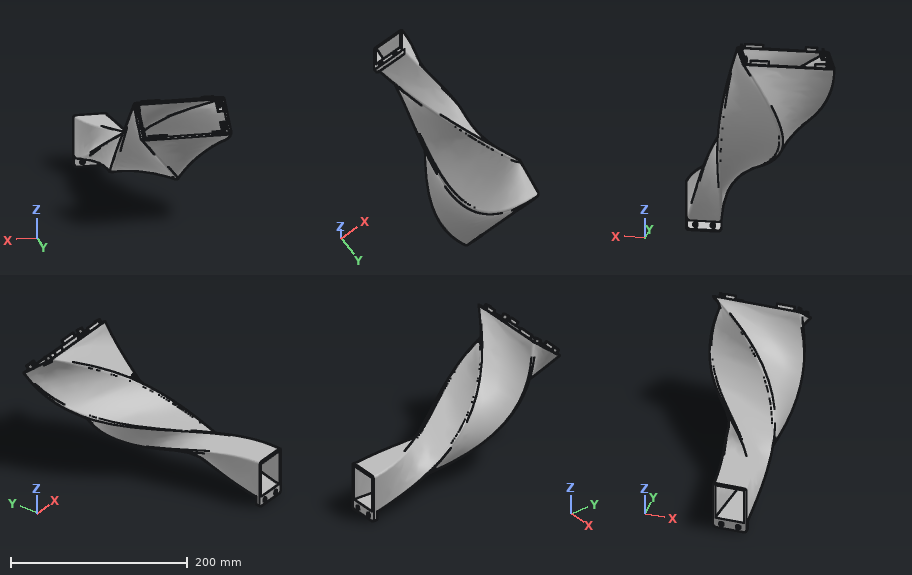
import cadquery as cq
import math

FLANGE_WIDTH = 40.0
FLANGE_HEIGHT = 60.0
FLANGE_THICKNESS = 5.0
FLANGE_CORNER_RADIUS = 3.5
INLET_WIDTH = FLANGE_WIDTH
INLET_HEIGHT = 50.0
HOLE_DIAMETER = 5.0
HOLE_SPACING = 20.0
HOLE_EDGE_DISTANCE = 5.5

OUTLET_WIDTH = 105.5
OUTLET_DEPTH = 51.0
OUTLET_CENTRE = cq.Vector(-47.1, 256.26, 95.18)
OUTLET_ELEVATION = 50.0

WALL = 3.0
DUCT_CORNER_RADIUS = 3.5

CLIP_HEIGHT = 5.0
CLIP_THICKNESS = 1.0
CLIP_FACE = 24.0
LONG_CLIP_WIDTH = 21.0
SHORT_CLIP_WIDTH = 13.0
LONG_CLIP_X = 33.7
UPPER_SHORT_CLIP_X = -32.4
LOWER_SHORT_CLIP_X = -36.6
SIDE_CLIP_WIDTH = 9.0
SIDE_CLIP_OFFSET = 16.5
LEFT_CLIP_X = -45.1
RIGHT_CLIP_X = 48.7
LEFT_LEDGE_WIDTH = 7.0
LEFT_LEDGE_NOTCH = 14.6
RIGHT_LEDGE_WIDTH = 2.2
LEDGE_RECESS = 1.0
LEDGE_THICKNESS = 1.5
LEDGE_GRIP = 0.8

elevation = math.radians(OUTLET_ELEVATION)
ACROSS = cq.Vector(1, 0, 0)
DOWN_SLOPE = cq.Vector(0, math.sin(elevation), -math.cos(elevation))
OUTWARD = cq.Vector(0, math.cos(elevation), math.sin(elevation))
OUTLET_PLANE = cq.Plane(origin=OUTLET_CENTRE, xDir=ACROSS, normal=OUTWARD)

CORNER_HANDLES = {
    (-1, 1): (cq.Vector(-7.2, 97.8, 10.9), cq.Vector(-26.5, -103.4, -54.9)),
    (1, 1): (cq.Vector(-10.6, 100.2, 2.6), cq.Vector(-111.0, -45.1, -131.2)),
    (1, -1): (cq.Vector(15.5, 112.5, 6.0), cq.Vector(36.0, -21.2, -105.0)),
    (-1, -1): (cq.Vector(0.6, 100.0, 26.7), cq.Vector(137.0, -79.6, -54.8)),
}
SECTION_COUNT = 17


def blended_handle(end, u, v):
    """Handle for a section point, blended from the corners; u and v are -1 to 1 over the section."""
    total = cq.Vector(0, 0, 0)
    for (across, down), handles in CORNER_HANDLES.items():
        total += handles[end] * ((1 + across * u) * (1 + down * v) / 4)
    return total


def flow_line(across, down, inset_x, inset_y):
    """Four control points of the cubic that starts near one corner, moved in from both walls."""
    inlet_x = across * (INLET_WIDTH / 2 - inset_x)
    inlet_y = down * (INLET_HEIGHT / 2 - inset_y)
    outlet_x = across * (OUTLET_WIDTH / 2 - inset_x)
    outlet_y = down * (OUTLET_DEPTH / 2 - inset_y)
    start = cq.Vector(-inlet_x, FLANGE_THICKNESS, inlet_y)
    finish = OUTLET_CENTRE + ACROSS * outlet_x + DOWN_SLOPE * outlet_y
    leaving = blended_handle(0, 2 * inlet_x / INLET_WIDTH, 2 * inlet_y / INLET_HEIGHT)
    arriving = blended_handle(1, 2 * outlet_x / OUTLET_WIDTH, 2 * outlet_y / OUTLET_DEPTH)
    return [start, start + leaving, finish + arriving, finish]


def point_on_cubic(controls, t):
    total = cq.Vector(0, 0, 0)
    for i, control in enumerate(controls):
        total += control * (math.comb(3, i) * t**i * (1 - t) ** (3 - i))
    return total


def rounded_section(t):
    """Closed outline of the duct at t (0 at the inlet, 1 at the outlet): four walls, four arcs."""
    radius = DUCT_CORNER_RADIUS
    arc_inset = radius * (1 - math.sqrt(0.5))
    arcs = []
    for across, down in CORNER_HANDLES:
        on_end_wall = flow_line(across, down, 0, radius)
        on_long_wall = flow_line(across, down, radius, 0)
        middle = flow_line(across, down, arc_inset, arc_inset)
        ends = [on_end_wall, on_long_wall]
        if across == down:
            ends.reverse()
        arcs.append([point_on_cubic(line, t) for line in (ends[0], middle, ends[1])])
    edges = []
    for arc, following in zip(arcs, arcs[1:] + arcs[:1]):
        edges.append(cq.Edge.makeThreePointArc(*arc))
        edges.append(cq.Edge.makeLine(arc[-1], following[0]))
    return cq.Wire.assembleEdges(edges)


def make_duct_outside():
    sections = [rounded_section(i / (SECTION_COUNT - 1)) for i in range(SECTION_COUNT)]
    return cq.Workplane(cq.Solid.makeLoft(sections))


def make_duct_passage():
    """Sharp-cornered inside of the duct, each wall ruled between two corner curves."""
    lines = [flow_line(across, down, WALL, WALL) for across, down in CORNER_HANDLES]
    curves = [cq.Edge.makeBezier(line) for line in lines]
    faces = [cq.Face.makeRuledSurface(a, b) for a, b in zip(curves, curves[1:] + curves[:1])]
    for end in (0, -1):
        corners = [line[end] for line in lines]
        faces.append(cq.Face.makeFromWires(cq.Wire.makePolygon(corners, close=True)))
    return cq.Workplane(cq.Solid.makeSolid(cq.Shell.makeShell(faces)).fix())


def make_flange():
    bottom = INLET_HEIGHT / 2 - FLANGE_HEIGHT
    plate = (
        cq.Workplane("XY")
        .box(FLANGE_WIDTH, FLANGE_THICKNESS, FLANGE_HEIGHT, centered=(True, False, False))
        .translate((0, 0, bottom))
        .edges("|Y")
        .fillet(FLANGE_CORNER_RADIUS)
    )
    holes = (
        cq.Workplane("XZ", origin=(0, 0, bottom + HOLE_EDGE_DISTANCE))
        .pushPoints([(-HOLE_SPACING / 2, 0), (HOLE_SPACING / 2, 0)])
        .circle(HOLE_DIAMETER / 2)
        .extrude(-FLANGE_THICKNESS)
    )
    return plate.cut(holes)


def make_window():
    return cq.Workplane("XY").box(
        INLET_WIDTH - 2 * WALL, FLANGE_THICKNESS, INLET_HEIGHT - 2 * WALL, centered=(True, False, True)
    )


def rim_block(x_range, y_range, bottom, top):
    """Box on the outlet plane, given by its extents in the outlet frame."""
    size_x = x_range[1] - x_range[0]
    size_y = y_range[1] - y_range[0]
    return (
        cq.Workplane(OUTLET_PLANE)
        .workplane(offset=bottom)
        .center(x_range[0] + size_x / 2, y_range[0] + size_y / 2)
        .rect(size_x, size_y)
        .extrude(top - bottom)
    )


def span(centre, width):
    return (centre - width / 2, centre + width / 2)


def make_ledges():
    inner_x = OUTLET_WIDTH / 2 - WALL
    inner_y = OUTLET_DEPTH / 2 - WALL
    bottom = -LEDGE_RECESS - LEDGE_THICKNESS
    left_x = (-inner_x - LEDGE_GRIP, -inner_x + LEFT_LEDGE_WIDTH)
    right_x = (inner_x - RIGHT_LEDGE_WIDTH, inner_x + LEDGE_GRIP)
    notch = LEFT_LEDGE_NOTCH / 2
    return [
        rim_block(left_x, (notch, inner_y + LEDGE_GRIP), bottom, -LEDGE_RECESS),
        rim_block(left_x, (-inner_y - LEDGE_GRIP, -notch), bottom, -LEDGE_RECESS),
        rim_block(right_x, (-inner_y - LEDGE_GRIP, inner_y + LEDGE_GRIP), bottom, -LEDGE_RECESS),
    ]


def make_clips():
    clips = []
    for side, short_x in ((1, LOWER_SHORT_CLIP_X), (-1, UPPER_SHORT_CLIP_X)):
        wall_y = span(side * (CLIP_FACE - CLIP_THICKNESS / 2), CLIP_THICKNESS)
        for x, width in ((short_x, SHORT_CLIP_WIDTH), (LONG_CLIP_X, LONG_CLIP_WIDTH)):
            clips.append(rim_block(span(x, width), wall_y, 0, CLIP_HEIGHT))
        side_y = span(side * SIDE_CLIP_OFFSET, SIDE_CLIP_WIDTH)
        for x in (LEFT_CLIP_X, RIGHT_CLIP_X):
            clips.append(rim_block(span(x, CLIP_THICKNESS), side_y, -LEDGE_RECESS, CLIP_HEIGHT))
    return clips


result = make_duct_outside().union(make_flange()).cut(make_duct_passage()).cut(make_window())
for detail in make_ledges() + make_clips():
    result = result.union(detail)